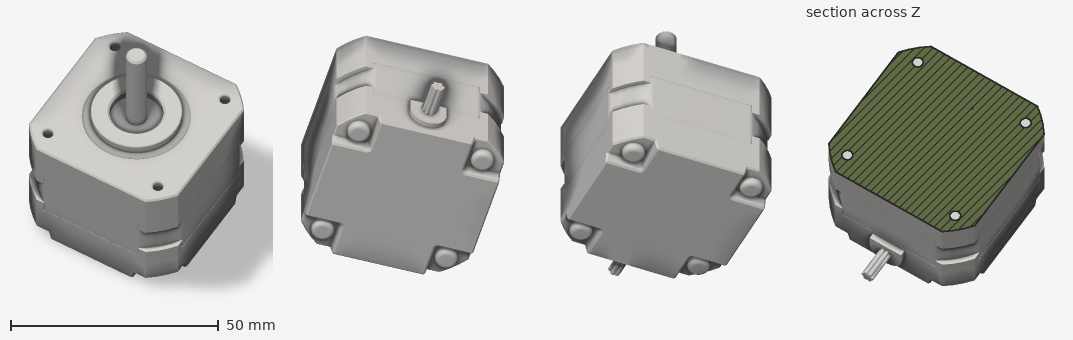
import cadquery as cq
import math

WIDTH = 42.0
HALF = WIDTH / 2
BODY_HEIGHT = 33.0
CORNER_RADIUS = 26.0
EDGE_CHAMFER = 0.4
BOLT_HALF_PITCH = 15.5
CORNER_SIGNS = [(sx, sy) for sx in (-1, 1) for sy in (-1, 1)]
BOLT_SPOTS = [(sx * BOLT_HALF_PITCH, sy * BOLT_HALF_PITCH) for sx, sy in CORNER_SIGNS]

CORE_HALF = 20.95
CORE_RADIUS = 24.75
CORE_BLEND = 2.0
BAND_BOTTOM = 13.0
BAND_TOP = 20.5
WINDOW_WIDTH = 26.7
WINDOW_BOTTOM = 10.3
WINDOW_TOP = 22.7

BOSS_RADIUS = 11.0
BOSS_HEIGHT = 2.0
BOSS_CHAMFER = 0.2
BOSS_TOP = BODY_HEIGHT + BOSS_HEIGHT
MOAT_RADIUS = 13.2
MOAT_DEPTH = 0.4
MOAT_SLOPE_WIDTH = 0.4
MOAT_FLOOR = BODY_HEIGHT - MOAT_DEPTH
BORE_RADIUS = 6.5
BORE_DEPTH = 2.5
BORE_FLOOR = BOSS_TOP - BORE_DEPTH
BORE_CHAMFER = 0.5
SHAFT_RADIUS = 2.5
SHAFT_TOP = 57.0
SHAFT_ROOT = 1.0
SHAFT_CHAMFER = 0.5
HOLE_RADIUS = 1.25
HOLE_DEPTH = 4.5
HOLE_CHAMFER = 0.3

POCKET_DEPTH = 2.45
POCKET_WALL = 11.55
POCKET_DRAFT = 14.0
POCKET_CORNER_RADIUS = 1.0
SKIN_DISTANCE = HALF + 1.0
HEAD_RADIUS = 2.75
HEAD_BOTTOM = 0.5
HEAD_ROUNDING = 1.1

EXIT_RADIUS = 4.5
EXIT_AXIS_Z = 6.5
EXIT_TOP = 9.5
EXIT_LENGTH = 1.5
WIRE_END = 30.5
WIRE_DIAMETER = 1.15
WIRE_PITCH = 1.08


def square_with_arc_corners(half, radius):
    """Square of half width `half`, its corners cut by a circle of `radius` on the axis."""
    flat = math.sqrt(radius ** 2 - half ** 2)
    mid = radius / math.sqrt(2)
    return (
        cq.Workplane("XY")
        .moveTo(-flat, -half)
        .lineTo(flat, -half)
        .threePointArc((mid, -mid), (half, -flat))
        .lineTo(half, flat)
        .threePointArc((mid, mid), (flat, half))
        .lineTo(-flat, half)
        .threePointArc((-mid, mid), (-half, flat))
        .lineTo(-half, -flat)
        .threePointArc((-mid, -mid), (-flat, -half))
        .close()
    )


def block(size_x, size_y, bottom, top):
    """Box centred on the axis between two heights."""
    return cq.Workplane("XY").workplane(offset=bottom).rect(size_x, size_y).extrude(top - bottom)


def make_pocket(sx, sy):
    """Corner pocket open to two sides and the rear; its inner walls lean outward going up."""
    reach = WIDTH
    side = reach - POCKET_WALL
    center = POCKET_WALL + side / 2
    return (
        cq.Workplane("XY")
        .center(sx * center, sy * center)
        .rect(side, side)
        .extrude(POCKET_DEPTH, taper=POCKET_DRAFT)
        .edges("not #Z")
        .fillet(POCKET_CORNER_RADIUS)
    )


def is_rear_rim(edge):
    """True for edges of the rear face and for pocket edges lying on the outer sides."""
    middle = edge.Center()
    on_rear_face = abs(middle.z) < EDGE_CHAMFER / 2
    on_pocket = middle.z < POCKET_DEPTH + EDGE_CHAMFER / 2
    on_outer_side = math.hypot(middle.x, middle.y) > SKIN_DISTANCE
    return on_rear_face or (on_pocket and on_outer_side)


def make_body():
    """Prism with chamfered ends and a chamfered pocket in each rear corner."""
    body = square_with_arc_corners(HALF, CORNER_RADIUS).extrude(BODY_HEIGHT)
    body = body.faces(">Z").chamfer(EDGE_CHAMFER)
    for sx, sy in CORNER_SIGNS:
        body = body.cut(make_pocket(sx, sy))
    rim = [edge for edge in body.edges().vals() if is_rear_rim(edge)]
    return body.newObject(rim).chamfer(EDGE_CHAMFER)


def expose_core(body):
    """Cut the cap skin away from the core in a band all round and in one window per side."""
    core = square_with_arc_corners(CORE_HALF, CORE_RADIUS).extrude(BODY_HEIGHT)
    core = core.edges("|Z").fillet(CORE_BLEND)
    reach = 2 * WIDTH
    cutter = block(reach, reach, BAND_BOTTOM, BAND_TOP)
    cutter = cutter.union(block(WINDOW_WIDTH, reach, WINDOW_BOTTOM, WINDOW_TOP))
    cutter = cutter.union(block(reach, WINDOW_WIDTH, WINDOW_BOTTOM, WINDOW_TOP))
    return body.cut(cutter.cut(core))


def turned(profile):
    """Solid of revolution about Z from a closed (radius, height) profile."""
    return cq.Workplane("XZ").polyline(profile).close().revolve(360, (0, 0), (0, 1))


def chamfered_rod(radius, bottom, top, chamfer):
    """Rod on the axis with a chamfered top end."""
    rod = cq.Workplane("XY").workplane(offset=bottom).circle(radius).extrude(top - bottom)
    return rod.faces(">Z").chamfer(chamfer)


def flared_recess(radius, floor, top, chamfer):
    """Round recess on the axis whose mouth is widened by a chamfer."""
    return turned([
        (0, floor),
        (radius, floor),
        (radius, top - chamfer),
        (radius + chamfer, top),
        (0, top),
    ])


def add_front_face(body):
    """Ring recess, pilot boss with its bore, and the shaft."""
    moat = turned([
        (0, MOAT_FLOOR),
        (MOAT_RADIUS - MOAT_SLOPE_WIDTH, MOAT_FLOOR),
        (MOAT_RADIUS, BODY_HEIGHT),
        (0, BODY_HEIGHT),
    ])
    boss = chamfered_rod(BOSS_RADIUS, MOAT_FLOOR, BOSS_TOP, BOSS_CHAMFER)
    bore = flared_recess(BORE_RADIUS, BORE_FLOOR, BOSS_TOP, BORE_CHAMFER)
    shaft = chamfered_rod(SHAFT_RADIUS, BORE_FLOOR - SHAFT_ROOT, SHAFT_TOP, SHAFT_CHAMFER)
    return body.cut(moat).union(boss).cut(bore).union(shaft)


def cut_mounting_holes(body):
    """Blind chamfered screw holes in the front face."""
    hole = flared_recess(HOLE_RADIUS, BODY_HEIGHT - HOLE_DEPTH, BODY_HEIGHT, HOLE_CHAMFER)
    for x, y in BOLT_SPOTS:
        body = body.cut(hole.translate((x, y, 0)))
    return body


def make_screw_heads():
    """Round-edged screw heads hanging from the pocket ceilings."""
    return (
        cq.Workplane("XY")
        .workplane(offset=HEAD_BOTTOM)
        .pushPoints(BOLT_SPOTS)
        .circle(HEAD_RADIUS)
        .extrude(POCKET_DEPTH - HEAD_BOTTOM)
        .faces("<Z")
        .edges()
        .fillet(HEAD_ROUNDING)
    )


def make_lead_housing():
    """Lead exit block with a half-round underside, sunk into the body by its own length."""
    return (
        cq.Workplane("XZ", origin=(0, HALF + EXIT_LENGTH, 0))
        .moveTo(-EXIT_RADIUS, EXIT_TOP)
        .lineTo(-EXIT_RADIUS, EXIT_AXIS_Z)
        .threePointArc((0, EXIT_AXIS_Z - EXIT_RADIUS), (EXIT_RADIUS, EXIT_AXIS_Z))
        .lineTo(EXIT_RADIUS, EXIT_TOP)
        .close()
        .extrude(2 * EXIT_LENGTH)
    )


def make_wires():
    """Hexagonal bundle of seven round wires."""
    row_rise = WIRE_PITCH * math.sqrt(3) / 2
    spots = []
    for row, count in ((-1, 2), (0, 3), (1, 2)):
        for i in range(count):
            x = (i - (count - 1) / 2) * WIRE_PITCH
            spots.append((x, EXIT_AXIS_Z + row * row_rise))
    bundle = cq.Workplane("XY")
    for x, z in spots:
        wire = cq.Workplane("XZ", origin=(x, WIRE_END, z)).circle(WIRE_DIAMETER / 2)
        bundle = bundle.union(wire.extrude(WIRE_END - HALF))
    return bundle


body = make_body()
body = expose_core(body)
body = add_front_face(body)
body = cut_mounting_holes(body)
body = body.union(make_screw_heads())
result = body.union(make_lead_housing()).union(make_wires())